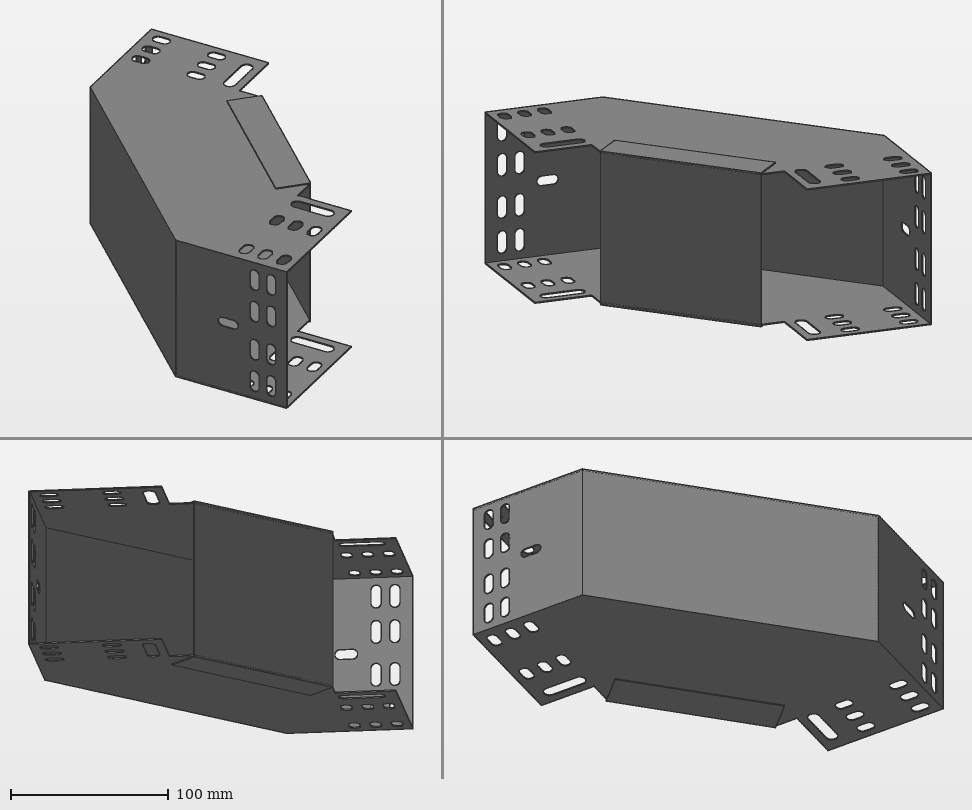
import cadquery as cq
import math

length = 308.0
depth = 117.0
total_height = 103.2
sheet = 0.8
channel_height = total_height - 2 * sheet

half_length = length / 2
arm_width = 85.0
arm_inner_length = 38.8
tip_y = depth - arm_width / math.sqrt(2)
front_corner_x = half_length - tip_y
inner_corner_x = half_length - arm_width / math.sqrt(2)
notch_x = inner_corner_x - arm_inner_length / math.sqrt(2)
notch_y = depth - arm_inner_length / math.sqrt(2)

clip_half_width = 55.5
clip_flange = 23.0
inner_edge_y = notch_y + notch_x - clip_half_width
clip_back_y = inner_edge_y + sheet

small_slot_length = 12.0
small_slot_width = 7.0
small_slot_alongs = (12.0, 52.0)
small_slot_first = 8.5
small_slot_pitch = 13.5
small_slot_count = 3
long_slot_length = 30.2
long_slot_width = 8.0
long_slot_along = 75.5
long_slot_inward = 22.8

upright_slot_length = 15.0
upright_slot_width = 6.5
upright_slot_inwards = (11.5, 23.5)
upright_slot_heights = (-37.5, -14.2, 14.2, 37.5)
level_slot_length = 14.5
level_slot_width = 6.5
level_slot_inward = 42.5


def mirrored_outline(right_side):
    """Closed outline from its right half, listed from front to back."""
    left_side = [(-x, y) for x, y in reversed(right_side)]
    return cq.Workplane("XY").polyline(right_side + left_side).close()


def plate_blank():
    """Solid block with the outline of the channel."""
    right_side = [
        (front_corner_x, 0),
        (half_length, tip_y),
        (inner_corner_x, depth),
        (notch_x, notch_y),
        (clip_half_width, inner_edge_y),
    ]
    return mirrored_outline(right_side).extrude(channel_height / 2, both=True)


def channel_cavity():
    """Space between the plates and behind the three walls, open at the inner side."""
    shift = sheet / math.sqrt(2)
    right_side = [
        (front_corner_x - sheet * math.tan(math.pi / 8), sheet),
        (half_length, tip_y + 2 * shift),
        (half_length, depth + shift),
    ]
    return mirrored_outline(right_side).extrude(channel_height / 2 - sheet, both=True)


def plate_slots(end_plane):
    """Cutters through both plates of one arm."""
    small_centres = [
        (along, -small_slot_first - row * small_slot_pitch)
        for along in small_slot_alongs
        for row in range(small_slot_count)
    ]
    small_slots = (
        cq.Workplane(end_plane)
        .pushPoints(small_centres)
        .slot2D(small_slot_length, small_slot_width)
        .extrude(total_height, both=True)
    )
    long_slot = (
        cq.Workplane(end_plane)
        .center(long_slot_along, -long_slot_inward)
        .slot2D(long_slot_length, long_slot_width, 90)
        .extrude(total_height, both=True)
    )
    return small_slots.union(long_slot)


def wall_slots(wall_plane):
    """Cutters through the wall of one arm."""
    upright_centres = [
        (inward, height)
        for inward in upright_slot_inwards
        for height in upright_slot_heights
    ]
    upright_slots = (
        cq.Workplane(wall_plane)
        .pushPoints(upright_centres)
        .slot2D(upright_slot_length, upright_slot_width, 90)
        .extrude(2 * sheet, both=True)
    )
    level_slot = (
        cq.Workplane(wall_plane)
        .center(level_slot_inward, 0)
        .slot2D(level_slot_length, level_slot_width)
        .extrude(2 * sheet, both=True)
    )
    return upright_slots.union(level_slot)


def make_channel():
    """Bent channel with a top plate, a bottom plate, three walls and slotted arms."""
    left_tip = (-half_length, tip_y, 0)
    end_plane = cq.Plane(origin=left_tip, xDir=(1, 1, 0), normal=(0, 0, 1))
    wall_plane = cq.Plane(origin=left_tip, xDir=(1, -1, 0), normal=(-1, -1, 0))
    left_slots = plate_slots(end_plane).union(wall_slots(wall_plane))
    right_slots = left_slots.mirror("YZ")
    return plate_blank().cut(channel_cavity()).cut(left_slots).cut(right_slots)


def make_clip():
    """C-shaped clip: an upright plate with a flange over each channel plate."""
    clip_width = 2 * clip_half_width
    flange_centre_y = clip_back_y - clip_flange / 2
    clip = cq.Workplane("XY").box(clip_width, clip_flange, total_height)
    opening = cq.Workplane("XY").box(clip_width, clip_flange, channel_height)
    opening = opening.translate((0, -sheet, 0))
    return clip.cut(opening).translate((0, flange_centre_y, 0))


channel = make_channel()
clip = make_clip()
result = cq.Compound.makeCompound([channel.val(), clip.val()])